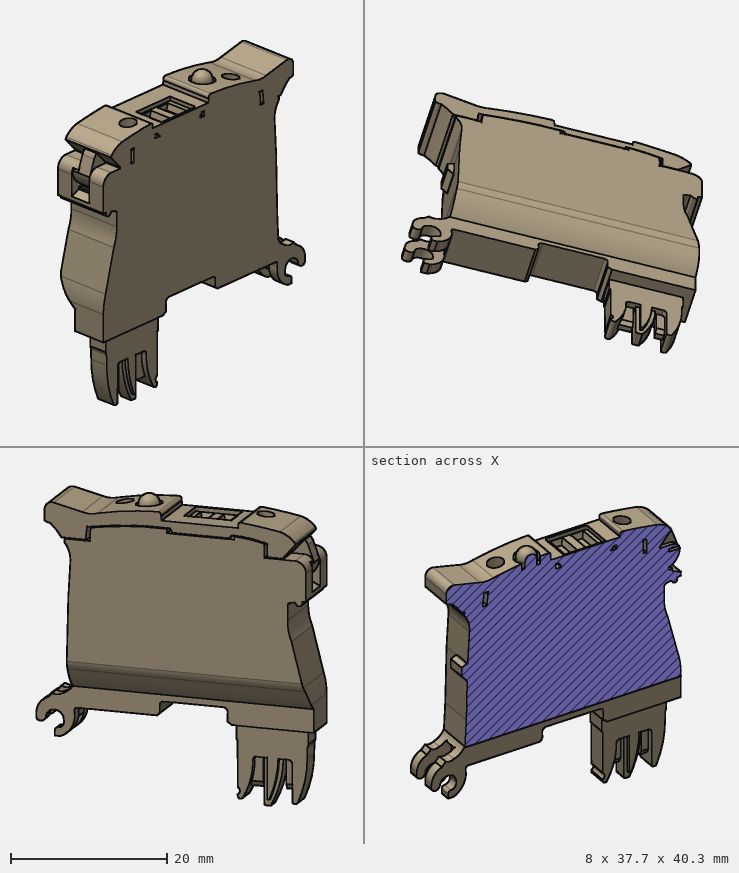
import cadquery as cq


WIDTH = 8.0
LENGTH = 37.7
HEIGHT = 40.34
CLEARANCE = 1.0
FOOT_LEVEL = 10.85
SEAM_LEVEL = 34.4
SEAM_GAP = 0.12
SEAM_DEPTH = 0.3
FRONT_RADIUS = 1.5
DECK_LEVEL = 38.05
REAR_TOP = 38.2

STEP_X = 3.0
STEP_TOP = 18.15
STEP_EDGE_X = 0.4
STEP_EDGE_Z = 17.05
STEP_BOTTOM = 14.0

FORK_X0, FORK_X1 = 4.55, 6.55
FORK_Y = 32.5
FORK_TOP = 13.4
HOOK_Y, HOOK_Z, HOOK_R = 35.2, 9.4, 1.22

LATCH_X0, LATCH_X1 = 2.45, 5.5
TAB_X0 = 3.45
LATCH_TOP = 33.7
LATCH_SHOULDER = 33.4
LATCH_BOTTOM = 31.05
WINDOW_BOTTOM = 29.75
WINDOW_DEPTH = 1.8
WINDOW_RISE = 0.6
LEDGE_Y = 1.3
LEDGE_RISE = 0.3

LAMP_X, LAMP_Y, LAMP_R = 4.0, 22.7, 1.4
LAMP_WELL_R, LAMP_WELL_FLOOR = 1.72, 38.0
PIN_X, PIN_R, PIN_DEPTH = 5.45, 1.13, 2.0
PIN_PLACES = ((7.35, 38.55), (26.5, 38.5))

POCKET_X0, POCKET_X1 = 3.12, 7.62
POCKET_Y0, POCKET_Y1 = 11.3, 17.65
POCKET_DEPTH = 0.6
POCKET_CORNER_R = 0.25
SOCKET_X0, SOCKET_X1 = 3.4, 7.55
SOCKET_STARTS = (11.9, 15.05)
SOCKET_WIDTH = 1.9
SOCKET_DEPTH = 0.9
SOCKET_TAPER = 0.32
SOCKET_SIDE_TAPER = 0.06

FOOT_X0, FOOT_X1 = 4.5, 7.25
PRONG_X0, PRONG_X1 = 4.95, 6.75
GAP_TOP = 6.5
CONTACT_X0, CONTACT_X1 = 5.3, 6.4
CONTACT_BOTTOM = 2.3
CONTACT_BEVEL_X, CONTACT_BEVEL_Z = 0.4, 0.72
CONTACT_SPANS = ((3.0, 4.57), (7.65, 9.45))

CATCH_X0, CATCH_X1 = 2.5, 5.5


def prism(outline, x0, x1):
    """Extrude a closed (Y, Z) outline along X. A pair of points is an arc: (through, end)."""
    path = cq.Workplane("YZ", origin=(x0, 0, 0)).moveTo(*outline[0])
    for step in outline[1:]:
        if isinstance(step[0], tuple):
            path = path.threePointArc(*step)
        else:
            path = path.lineTo(*step)
    return path.close().extrude(x1 - x0)


def block(x0, x1, y0, y1, z0, z1):
    """Box between two opposite corners."""
    return cq.Workplane("XY").box(x1 - x0, y1 - y0, z1 - z0, centered=False).translate((x0, y0, z0))


def make_housing():
    """Housing with front lip, rounded shoulders and rail hook."""
    round_mid = FRONT_RADIUS * (1 - 0.5 ** 0.5)
    front = [
        (0, FOOT_LEVEL),
        (0, 14.85),
        ((0.11, 16.25), (0.42, 17.6)),
        (1.97, 23.65),
        ((2.38, 25.0), (2.5, 26.4)),
        (2.5, 28.45),
        ((2.35, 28.65), (2.1, 28.75)),
        (1.55, 28.88),
        (1.2, 28.5),
        ((0.9, 28.4), (0.52, 28.85)),
        (0.52, 29.05),
        (0, 29.15),
        (0, SEAM_LEVEL - FRONT_RADIUS),
        ((round_mid, SEAM_LEVEL - round_mid), (FRONT_RADIUS, SEAM_LEVEL)),
    ]
    rear = [
        (32.7, SEAM_LEVEL),
        (32.85, 34.2),
        (32.8, 33.9),
        ((32.2, 32.8), (32.02, 31.3)),
        (32.3, 26.5),
        (32.5, STEP_TOP),
        (32.7, 14.2),
        ((33.3, 13.4), (34.3, 12.85)),
        ((34.9, 12.68), (35.55, 12.85)),
    ]
    hook = [
        (36.15, 12.2),
        ((37.15, 11.5), (LENGTH, 10.1)),
        (LENGTH, 9.4),
        ((37.25, 8.97), (36.6, 9.2)),
        (HOOK_Y + HOOK_R, HOOK_Z),
        ((HOOK_Y, HOOK_Z + HOOK_R), (HOOK_Y - HOOK_R, HOOK_Z)),
        ((34.25, 8.5), (34.75, 8.3)),
        ((35.08, 8.15), (35.18, 7.8)),
        (35.18, 7.15),
        (34.4, 7.15),
        (34.1, 7.3),
        ((33.1, 8.15), (32.5, 10.45)),
        (32.5, 10.8),
        ((32.42, 11.05), (32.15, 11.15)),
    ]
    underside = [
        (21.35, 11.15),
        ((20.98, 11.5), (20.92, 12.0)),
        (20.92, 12.4),
        ((20.8, 12.9), (20.4, 13.1)),
        (12.2, 13.1),
        ((11.85, 12.9), (11.72, 12.3)),
        (11.72, 11.25),
        (11.15, FOOT_LEVEL),
    ]
    return prism(front + rear + hook + underside, 0, WIDTH)


def make_step():
    """Volume removed from the -X side to thin the lower housing."""
    return (
        cq.Workplane("XZ", origin=(0, -CLEARANCE, 0))
        .moveTo(0, STEP_TOP)
        .threePointArc((0.13, 17.6), (STEP_EDGE_X, STEP_EDGE_Z))
        .threePointArc((1.5, 15.4), (STEP_X, STEP_BOTTOM))
        .lineTo(STEP_X, 0)
        .lineTo(-CLEARANCE, 0)
        .lineTo(-CLEARANCE, STEP_TOP)
        .close()
        .extrude(-(LENGTH + 2 * CLEARANCE))
    )


def make_fork_gap():
    """Gap that splits the rail hook into two prongs."""
    return block(FORK_X0, FORK_X1, FORK_Y, LENGTH + CLEARANCE, 0, FORK_TOP)


def make_cover():
    """Cover closing the top of the housing, overlapping it below the parting gap."""
    outline = [
        (3.2, SEAM_LEVEL),
        (3.2, SEAM_LEVEL + SEAM_GAP),
        (1.42, 36.55),
        (1.57, 36.85),
        ((2.44, 37.6), (3.6, 38.08)),
        ((6.3, 38.5), (8.8, 38.8)),
        ((9.07, 38.74), (9.22, 38.5)),
        (9.22, DECK_LEVEL),
        (19.6, DECK_LEVEL),
        (19.7, 38.6),
        ((19.82, 39.08), (20.08, 39.2)),
        ((24.3, 38.88), (28.35, REAR_TOP)),
        ((29.3, 38.05), (30.45, REAR_TOP)),
        (34.3, 39.08),
        ((35.2, 38.8), (35.52, 38.0)),
        (35.52, 36.6),
        ((35.2, 36.4), (34.75, 36.3)),
        ((33.85, 35.4), (33.2, SEAM_LEVEL + SEAM_GAP)),
        (32.7, SEAM_LEVEL),
    ]
    return prism(outline, 0, WIDTH)


def make_seam_openings():
    """Openings right through the part where cover and housing stand apart."""
    front_slot = [
        (5.22, SEAM_LEVEL),
        (5.22, 36.25),
        (5.4, 36.4),
        (5.8, 36.4),
        (5.65, 36.1),
        (5.65, SEAM_LEVEL),
    ]
    front_notch = [(9.75, 36.45), (9.75, 36.95), (10.15, 36.95), (10.35, 36.6), (10.6, 36.45)]
    rear_notch = [(18.15, 36.45), (18.25, 36.8), (18.5, 37.1), (18.88, 37.1), (18.88, 36.45)]
    rear_slot = [(29.35, SEAM_LEVEL), (29.25, 36.05), (29.1, 36.3), (29.75, 36.3), (29.95, SEAM_LEVEL)]
    openings = cq.Workplane()
    for outline in (front_slot, front_notch, rear_notch, rear_slot):
        openings = openings.add(prism(outline, 0, WIDTH))
    return openings.combine()


def seam_strip(*lower):
    """Part of the parting groove: its lower edge, repeated one gap width higher on the way back."""
    ends = [step[1] if isinstance(step[0], tuple) else step for step in lower]
    upper = [raise_by_gap(ends[-1])]
    for step, end in zip(reversed(lower[1:]), reversed(ends[:-1])):
        if isinstance(step[0], tuple):
            upper.append((raise_by_gap(step[0]), raise_by_gap(end)))
        else:
            upper.append(raise_by_gap(end))
    return prism(list(lower) + upper, 0, SEAM_DEPTH)


def raise_by_gap(point):
    """The same (Y, Z) point one parting gap higher."""
    return (point[0], point[1] + SEAM_GAP)


def make_seam_groove():
    """Shallow groove along the parting line on the -X side face."""
    front_shoulder = seam_strip((3.1, SEAM_LEVEL), (5.3, SEAM_LEVEL))
    front_crown = seam_strip((5.7, 36.3), ((7.8, 36.7), (10.1, 36.88)))
    middle = seam_strip((10.4, 36.43), (18.2, 36.43))
    rear_crown = seam_strip((18.8, 37.0), (22.0, 37.0), ((25.5, 36.72), (29.2, 36.2)))
    rear_shoulder = seam_strip((29.9, SEAM_LEVEL), (33.2, SEAM_LEVEL))
    return front_shoulder.add(front_crown).add(middle).add(rear_crown).add(rear_shoulder).combine()


def make_latch_window():
    """Window in the front face around the latch, with a sloping floor and a ledge behind it."""
    ramp_top = WINDOW_BOTTOM + WINDOW_RISE
    outline = [
        (0, WINDOW_BOTTOM),
        (0, LATCH_TOP),
        (WINDOW_DEPTH, LATCH_TOP),
        (WINDOW_DEPTH, ramp_top + LEDGE_RISE),
        (LEDGE_Y, ramp_top + LEDGE_RISE),
        (LEDGE_Y, ramp_top),
    ]
    return prism(outline, LATCH_X0, LATCH_X1)


def make_latch():
    """Tab hanging from the cover and the wider rounded hook at its end."""
    tab = [
        (3.2, SEAM_LEVEL),
        (1.36, 36.4),
        (0.95, 35.75),
        (0.1, LATCH_SHOULDER),
        (3.2, LATCH_SHOULDER),
    ]
    hook = [
        (0.1, LATCH_SHOULDER),
        ((0.5, 32.1), (1.6, LATCH_BOTTOM)),
        (2.0, LATCH_BOTTOM),
        (2.0, LATCH_SHOULDER),
    ]
    return prism(tab, TAB_X0, LATCH_X1).union(prism(hook, LATCH_X0, LATCH_X1))


def make_foot():
    """Contact foot: two outer legs, a tapered rib, a slimmer middle prong and two blades."""
    rear_leg = [
        (11.05, FOOT_LEVEL),
        (11.05, 8.6),
        (10.9, 8.4),
        (10.87, 2.2),
        ((10.58, 1.7), (10.9, 1.25)),
        (10.85, 0.95),
        ((10.5, 0.67), (10.15, 0.9)),
        ((9.2, 3.1), (8.82, 5.9)),
        ((8.72, 6.3), (8.4, GAP_TOP)),
    ]
    rib = [
        (6.88, GAP_TOP),
        (6.88, 0.95),
        (6.58, 0.95),
        ((5.7, 3.7), (5.37, GAP_TOP)),
    ]
    front_leg = [
        (3.95, GAP_TOP),
        ((3.58, 6.3), (3.45, 5.9)),
        (3.45, 0.85),
        ((3.05, 0.67), (2.7, 0.9)),
        ((1.85, 3.4), (1.42, 6.9)),
        (1.38, 8.4),
        (1.25, 8.8),
        (1.25, FOOT_LEVEL),
    ]
    prong = [
        (7.42, GAP_TOP),
        (7.42, 0.25),
        ((7.34, 0.08), (7.15, 0)),
        (6.55, 0),
        ((5.4, 2.7), (4.82, GAP_TOP)),
    ]
    foot = prism(rear_leg + rib + front_leg, FOOT_X0, FOOT_X1)
    foot = foot.union(prism(prong, PRONG_X0, PRONG_X1))
    for y0, y1 in CONTACT_SPANS:
        foot = foot.union(make_blade(y0, y1))
    return foot


def make_blade(y0, y1):
    """Contact blade between two legs, bevelled at the tip on its -X side."""
    return (
        cq.Workplane("XZ", origin=(0, y0, 0))
        .moveTo(CONTACT_X0, GAP_TOP)
        .lineTo(CONTACT_X0, CONTACT_BOTTOM + CONTACT_BEVEL_Z)
        .lineTo(CONTACT_X0 + CONTACT_BEVEL_X, CONTACT_BOTTOM)
        .lineTo(CONTACT_X1, CONTACT_BOTTOM)
        .lineTo(CONTACT_X1, GAP_TOP)
        .close()
        .extrude(y0 - y1)
    )


def make_rear_catch():
    """Small catch standing out of the rear wall."""
    outline = [(32.0, 26.6), (32.5, 26.55), (33.2, 26.25), (33.2, 24.9), (32.4, 24.0), (32.0, 24.0)]
    return prism(outline, CATCH_X0, CATCH_X1)


def make_lamp_well():
    """Round well around the lamp."""
    return (
        cq.Workplane("XY", origin=(LAMP_X, LAMP_Y, LAMP_WELL_FLOOR))
        .circle(LAMP_WELL_R)
        .extrude(HEIGHT - LAMP_WELL_FLOOR)
    )


def make_lamp():
    """Round lamp with a hemispherical crown."""
    crown_z = HEIGHT - LAMP_R
    stem = cq.Workplane("XY", origin=(LAMP_X, LAMP_Y, LAMP_WELL_FLOOR)).circle(LAMP_R)
    dome = cq.Workplane("XY").sphere(LAMP_R).translate((LAMP_X, LAMP_Y, crown_z))
    return stem.extrude(crown_z - LAMP_WELL_FLOOR).union(dome)


def make_pin_holes():
    """Blind test holes in the sloping decks of the cover."""
    holes = cq.Workplane()
    for y, level in PIN_PLACES:
        hole = cq.Workplane("XY", origin=(PIN_X, y, level - PIN_DEPTH)).circle(PIN_R).extrude(2 * PIN_DEPTH)
        holes = holes.add(hole)
    return holes.combine()


def make_sockets():
    """Shallow pocket in the cover with two tapered sockets in its floor."""
    floor = DECK_LEVEL - POCKET_DEPTH
    pocket = block(POCKET_X0, POCKET_X1, POCKET_Y0, POCKET_Y1, floor, DECK_LEVEL)
    pocket = pocket.edges("|Z and >X").fillet(POCKET_CORNER_R)
    top_x = (SOCKET_X0 + SOCKET_X1) / 2
    bottom_x0 = SOCKET_X0 + SOCKET_SIDE_TAPER
    bottom_x1 = SOCKET_X1 - SOCKET_TAPER
    bottom_x = (bottom_x0 + bottom_x1) / 2
    for y0 in SOCKET_STARTS:
        socket = (
            cq.Workplane("XY", origin=(top_x, y0 + SOCKET_WIDTH / 2, floor))
            .rect(SOCKET_X1 - SOCKET_X0, SOCKET_WIDTH)
            .workplane(offset=-SOCKET_DEPTH)
            .center(bottom_x - top_x, 0)
            .rect(bottom_x1 - bottom_x0, SOCKET_WIDTH - 2 * SOCKET_TAPER)
            .loft(ruled=True)
        )
        pocket = pocket.union(socket)
    return pocket


housing = make_housing().cut(make_step()).cut(make_fork_gap()).cut(make_latch_window())
shell = housing.union(make_cover()).cut(make_seam_openings()).cut(make_seam_groove())
shell = shell.cut(make_lamp_well()).cut(make_pin_holes()).cut(make_sockets())
result = shell.union(make_latch()).union(make_lamp()).union(make_foot()).union(make_rear_catch())